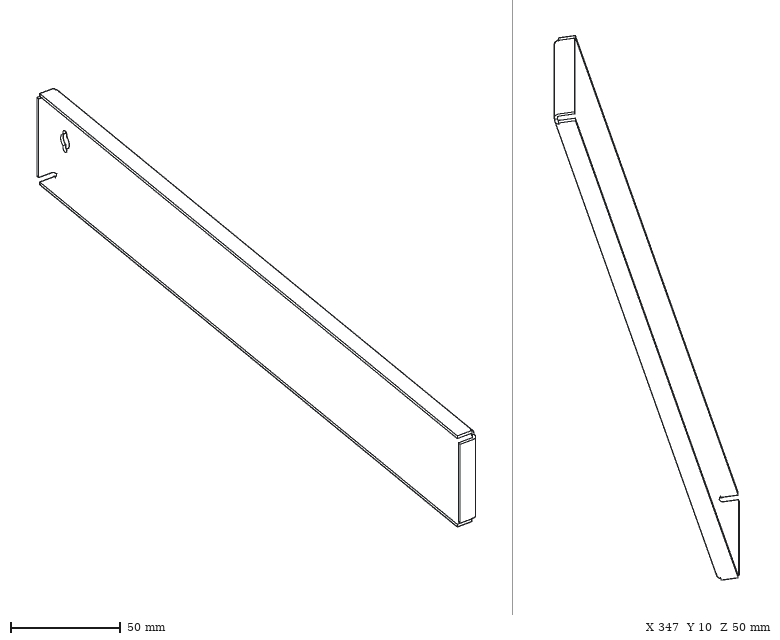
import cadquery as cq

length = 347.0
depth = 10.0
height = 50.0

thickness = 1.5
inner_bend_radius = 1.5
outer_bend_radius = inner_bend_radius + thickness

flange_end_inset = 2.3
corner_relief = 3.4
relief_depth = 2.0
long_flange_length = length - 2 * flange_end_inset
end_flange_width = height - 2 * corner_relief
relieved_web_length = length - 2 * corner_relief

hole_inset = 10.4
hole_diameter = 7.0
slot_width = 3.0
slot_height = 11.5

back_y = depth / 2


def folded_channel(span, run):
    """U-channel along X: a web at the back, with flanges bent forward at +Z and -Z."""
    outer = (
        cq.Workplane("XY")
        .box(run, depth, span)
        .edges("|X and >Y")
        .fillet(outer_bend_radius)
    )
    cavity = (
        cq.Workplane("XY")
        .box(run, depth, span - 2 * thickness)
        .edges("|X and >Y")
        .fillet(inner_bend_radius)
        .translate((0, -thickness, 0))
    )
    return outer.cut(cavity)


def long_channel():
    """Web with top and bottom flanges, notched back at both ends behind the flanges."""
    channel = folded_channel(height, long_flange_length)
    end_trim_length = corner_relief - flange_end_inset
    end_trim = cq.Workplane("XY").box(end_trim_length, relief_depth, height)
    for side in (-1, 1):
        trim_x = side * (relieved_web_length + end_trim_length) / 2
        trim_y = back_y - relief_depth / 2
        channel = channel.cut(end_trim.translate((trim_x, trim_y, 0)))
    return channel


def end_channel():
    """Web with the left and right end flanges, narrower than the full height."""
    return folded_channel(length, end_flange_width).rotate((0, 0, 0), (0, 1, 0), 90)


def hanging_hole_cutters():
    """Round holes and upright slots through the web near both ends."""
    hole_x = length / 2 - hole_inset
    centers = [(-hole_x, 0), (hole_x, 0)]
    plane = cq.Workplane("XZ", origin=(0, back_y, 0)).pushPoints(centers)
    holes = plane.circle(hole_diameter / 2).extrude(thickness)
    slots = plane.slot2D(slot_height, slot_width, 90).extrude(thickness)
    return holes.union(slots)


result = long_channel().union(end_channel()).cut(hanging_hole_cutters())